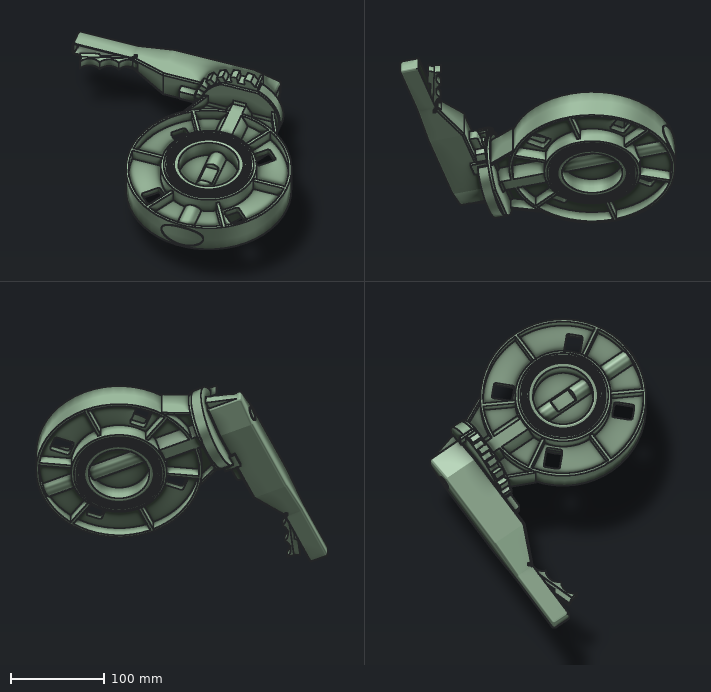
import cadquery as cq

rim_radius = 89.0
rim_wall = 3.0
rim_half_height = 16.45
web_half_thickness = 3.8
rib_thickness = 3.5
rib_angles = (0, 60, 120, 180, 240, 300)
window_angles = (45, 135, 225, 315)
window_radial = 22.0
window_tangential = 17.5
window_center_radius = 65.5
window_corner_radius = 2.5
boss_diameter = 20.0
plug_radius_x = 24.0
plug_radius_z = 13.7
plug_height = 1.0

hub_diameter = 103.0
hub_radius = hub_diameter / 2
seat_face_diameter = 97.0
bore_diameter = 65.0
hub_end = 21.3
seat_end = 23.0
lip_width = 2.0
lip_depth = 0.5
groove_radii = (38.2, 41.7, 45.1)
groove_width = 1.7
groove_depth = 1.0

flange_start = 102.0
flange_end = 105.0
flange_radius = 44.5
flange_half_height = 39.3
wing_base_x = 52.5
wing_base_y = 73.7
wing_top_x = 39.0
neck_top_half_width = 7.3
gusset_size = 2.5
neck_base_half_width = 15.1
plate_end = 116.5
plate_root_radius = 45.0
tooth_end = 116.0
tooth_tip_radius = 52.5
tooth_width = 7.3
tooth_pitch = 18
tooth_count = 5
end_tooth_inner_x = 4.5
end_tooth_outer_x = 11.5
end_tooth_tip_drop = 1.2
end_tooth_foot_x = 20.0
end_tooth_foot_z = 40.5
stop_near_x = 16.5
stop_far_x = 19.5
stop_low_z = 29.7
stop_high_z = 45.7
stop_end = 123.2

disc_half_thickness = 3.2
shaft_diameter = 20.0
pad_width = 15.0
pad_length = 22.7
pad_height = 5.5
pad_taper = 20

handle_bottom = plate_end
handle_top = 156.7
grip_bottom = 135.7
grip_end_x = -202.0
grip_taper_x = -134.5
handle_wide_x = -92.3
handle_nose_x = -2.0
handle_end_x = 28.7
grip_half_height = 8.3
handle_half_height = rim_half_height
nose_half_height = 8.0
handle_edge_radius = 3.2
handle_foot_chamfer = 1.7
cap_diameter = 15.0
cap_height = 1.0
fin_foot_x = 37.3
fin_foot_y = 118.8
fin_top_y = 154.5
fin_half_thickness = 5.2
pawl_start_x = -71.7
pawl_tip_x = -46.5
pawl_neck_x = -54.0
pawl_bottom = 107.5
pawl_half_width = 5.5
pawl_tip_half_width = 2.5
pawl_edge_radius = 3.0
trough_start_x = -200.7
trough_end_x = grip_taper_x
trough_half_height = 7.0
trough_depth = 14.5
trough_taper = 11.5

trigger_half_width = 5.2
trigger_back_half_width = 4.0
pocket_start_x = -157.3
pocket_end_x = -126.7
pocket_top = 144.2
pivot_x = -131.0
pivot_y = 138.4
pivot_diameter = 3.0
pivot_half_length = 10.5
pivot_eye_radius = 3.8


def y_slab(start, end):
    """Workplane whose outlines are drawn in X and Z, with the length to extrude toward +Y."""
    return cq.Workplane("XZ", origin=(0, start, 0)), start - end


def z_prism(sketch_on_xy, half_height):
    """Extrude a closed XY outline equally to both sides of Z = 0."""
    return sketch_on_xy.extrude(half_height, both=True)


def y_cylinder(diameter, start, end):
    plane, length = y_slab(start, end)
    return plane.circle(diameter / 2).extrude(length)


def wheel():
    """Rim, web and radial ribs."""
    inner_radius = rim_radius - rim_wall
    rim = z_prism(cq.Workplane().circle(rim_radius).circle(inner_radius), rim_half_height)
    web = z_prism(cq.Workplane().circle(rim_radius - rim_wall / 2), web_half_thickness)
    body = rim.union(web)
    rib_length = inner_radius - hub_radius + rim_wall
    rib_center = hub_radius + rib_length / 2 - rim_wall / 2
    for angle in rib_angles:
        rib = cq.Workplane().box(rib_length, rib_thickness, 2 * rim_half_height)
        body = body.union(rib.translate((rib_center, 0, 0)).rotate((0, 0, 0), (0, 0, 1), angle))
    return body


def windows():
    """Four rounded bolt windows through the web."""
    window = cq.Workplane().box(window_radial, window_tangential, 2 * rim_half_height)
    window = window.edges("|Z").fillet(window_corner_radius).translate((window_center_radius, 0, 0))
    cutter = cq.Workplane()
    for angle in window_angles:
        cutter = cutter.add(window.rotate((0, 0, 0), (0, 0, 1), angle))
    return cutter


def plug():
    """Oval plug that stands slightly proud of the rim at -Y."""
    plane, length = y_slab(-rim_radius - rim_wall, -rim_radius + 3 * rim_wall)
    oval = plane.ellipse(plug_radius_x, plug_radius_z).extrude(length)
    ring = cq.Workplane().circle(rim_radius + plug_height).circle(rim_radius - rim_wall / 2)
    return oval.intersect(z_prism(ring, rim_half_height))


def bracket():
    """Two slanted wing walls and the web between them."""
    outline = [(-wing_base_x, wing_base_y), (-wing_top_x, flange_start)]
    outline += [(wing_top_x, flange_start), (wing_base_x, wing_base_y)]
    frame = z_prism(cq.Workplane().polyline(outline).close(), rim_half_height)
    inner_base_x = wing_base_x - rim_wall
    inner_top_x = wing_top_x - rim_wall
    opening = [(-inner_base_x, wing_base_y), (-inner_top_x, flange_start)]
    opening += [(inner_top_x, flange_start), (inner_base_x, wing_base_y)]
    frame = frame.cut(z_prism(cq.Workplane().polyline(opening).close(), rim_half_height))
    web = z_prism(cq.Workplane().polyline(outline).close(), web_half_thickness)
    wing_area = frame.union(web)
    return wing_area.cut(z_prism(cq.Workplane().circle(rim_radius - rim_wall / 2), rim_half_height))


def neck():
    """Six-sided stem casing from the hub to the flange."""
    plane, length = y_slab(hub_radius - rim_wall, flange_start)
    right = [(neck_top_half_width, rim_half_height), (neck_base_half_width, web_half_thickness)]
    right += [(x, -z) for x, z in reversed(right)]
    left = [(-x, z) for x, z in reversed(right)]
    return plane.polyline(right + left).close().extrude(length)


def flange_gussets():
    """Sloped corners where the neck and the bracket web meet the flange."""
    gussets = cq.Workplane()
    widths = ((neck_top_half_width, rim_half_height), (wing_top_x - rim_wall / 2, web_half_thickness))
    for half_width, base_z in widths:
        for side in (1, -1):
            profile = [(flange_start, side * (base_z - gusset_size))]
            profile += [(flange_start, side * (base_z + gusset_size))]
            profile += [(flange_start - gusset_size, side * base_z)]
            gusset = cq.Workplane("YZ").polyline(profile).close().extrude(half_width, both=True)
            gussets = gussets.add(gusset)
    return gussets


def hub():
    """Hub with a grooved seat face on both ends."""
    body = z_prism(cq.Workplane().circle(hub_radius), hub_end)
    body = body.union(z_prism(cq.Workplane().circle(seat_face_diameter / 2), seat_end))
    groove_bottom = seat_end - groove_depth
    for side in (1, -1):
        for radius in groove_radii:
            groove = cq.Workplane(origin=(0, 0, side * groove_bottom))
            groove = groove.circle(radius + groove_width / 2).circle(radius - groove_width / 2)
            body = body.cut(groove.extrude(side * groove_depth))
    return body


def bore():
    """Through bore with a shallow flared lip at both ends."""
    radius = bore_diameter / 2
    lip_radius = radius + lip_width
    lip_start = seat_end - lip_depth
    profile = [(0, -seat_end), (lip_radius, -seat_end), (radius, -lip_start)]
    profile += [(radius, lip_start), (lip_radius, seat_end), (0, seat_end)]
    return cq.Workplane("XZ").polyline(profile).close().revolve(360, (0, 0, 0), (0, 1, 0))


def flange():
    """Round flange with its top and bottom cut flat."""
    plane, length = y_slab(flange_start, flange_end)
    disc = plane.circle(flange_radius).extrude(length)
    flats = cq.Workplane().box(4 * flange_radius, 4 * flange_end, 2 * flange_half_height)
    return disc.intersect(flats)


def to_lower_end(points):
    """Mirror X-Z points about the middle of the quarter turn (-X to +Z)."""
    return [(-z, -x) for x, z in points]


def toothed_plate():
    """Index plate with five teeth, a sloped tooth at each end and two stops."""
    plate = y_cylinder(2 * plate_root_radius, flange_end, plate_end)
    plane, length = y_slab(flange_end, tooth_end)
    tooth_length = tooth_tip_radius - plate_root_radius + rim_wall
    tooth = plane.center(0, tooth_tip_radius - tooth_length / 2).rect(tooth_width, tooth_length)
    tooth = tooth.extrude(length)
    for index in range(tooth_count):
        angle = tooth_pitch * (index + 0.5)
        plate = plate.union(tooth.rotate((0, 0, 0), (0, 1, 0), -angle))

    plane, length = y_slab(flange_end, tooth_end)
    foot_z = end_tooth_foot_z - rim_wall
    end_tooth = [(end_tooth_inner_x, foot_z), (end_tooth_inner_x, tooth_tip_radius)]
    end_tooth += [(end_tooth_outer_x, tooth_tip_radius - end_tooth_tip_drop)]
    end_tooth += [(end_tooth_foot_x, end_tooth_foot_z), (end_tooth_foot_x, foot_z)]
    stop = [(stop_near_x, stop_low_z), (stop_near_x, stop_high_z)]
    stop += [(stop_far_x, stop_high_z), (stop_far_x, stop_low_z)]
    stop_plane, stop_length = y_slab(flange_end, stop_end)
    for tooth_outline in (end_tooth, to_lower_end(end_tooth)):
        plate = plate.union(plane.polyline(tooth_outline).close().extrude(length))
    for stop_outline in (stop, to_lower_end(stop)):
        plate = plate.union(stop_plane.polyline(stop_outline).close().extrude(stop_length))
    return plate


def make_housing():
    shaft_boss = y_cylinder(boss_diameter, -rim_radius + rim_wall / 2, -hub_radius + rim_wall)
    body = wheel().cut(windows()).union(bracket()).union(neck()).union(shaft_boss)
    for gusset in flange_gussets().vals():
        body = body.union(cq.Workplane(gusset))
    body = body.union(hub()).union(plug()).cut(bore())
    return body.union(flange()).union(toothed_plate())


def make_disc():
    """Closing disc with its shaft swelling and a sunken flat in the middle."""
    bore_cylinder = z_prism(cq.Workplane().circle(bore_diameter / 2), seat_end)
    plate = z_prism(cq.Workplane().circle(bore_diameter / 2), disc_half_thickness)
    shaft = y_cylinder(shaft_diameter, -bore_diameter / 2, bore_diameter / 2)
    pad = cq.Workplane(origin=(0, 0, pad_height)).rect(pad_width, pad_length)
    pad = pad.extrude(shaft_diameter / 2, taper=-pad_taper)
    return plate.union(shaft.intersect(bore_cylinder)).cut(pad)


def handle_shell():
    """Side outline and plan outline of the handle, crossed with each other."""
    side = [(grip_end_x, handle_top), (handle_end_x, handle_top), (handle_end_x, handle_bottom)]
    side += [(handle_wide_x, handle_bottom), (grip_taper_x, grip_bottom), (grip_end_x, grip_bottom)]
    side_prism = z_prism(cq.Workplane().polyline(side).close(), handle_half_height)
    upper = [(grip_end_x, grip_half_height), (grip_taper_x, grip_half_height)]
    upper += [(handle_wide_x, handle_half_height), (handle_nose_x, handle_half_height)]
    upper += [(handle_end_x, nose_half_height)]
    lower = [(x, -z) for x, z in reversed(upper)]
    plane, length = y_slab(handle_bottom, handle_top)
    shell = side_prism.intersect(plane.polyline(upper + lower).close().extrude(length))
    slope_middle = ((grip_taper_x + handle_wide_x) / 2, (grip_bottom + handle_bottom) / 2, 0)
    foot = shell.faces("<Y").edges("not |Z")
    foot = foot.add(shell.faces(cq.NearestToPointSelector(slope_middle)).edges("not |Z"))
    shell = foot.chamfer(handle_foot_chamfer)
    top_and_ends = shell.faces(">Y").edges().add(shell.faces("<X or >X").edges("|Y"))
    return top_and_ends.fillet(handle_edge_radius)


def trough():
    """Tapered trough along the underside of the grip."""
    plane, length = y_slab(grip_bottom, grip_bottom + trough_depth)
    middle = (trough_start_x + trough_end_x) / 2
    opening = plane.center(middle, 0).rect(trough_end_x - trough_start_x, 2 * trough_half_height)
    return opening.extrude(length, taper=trough_taper)


def pawl():
    """Fixed locking nose that sits between two teeth of the plate."""
    outline = [(pawl_start_x, pawl_half_width), (pawl_neck_x, pawl_half_width)]
    outline += [(pawl_neck_x, pawl_tip_half_width), (pawl_tip_x, pawl_tip_half_width)]
    outline += [(x, -z) for x, z in reversed(outline)]
    plane, length = y_slab(pawl_bottom, handle_bottom + handle_foot_chamfer)
    nose = plane.polyline(outline).close().extrude(length)
    return nose.edges("<X and <Y").fillet(pawl_edge_radius)


def make_handle():
    cap = y_cylinder(cap_diameter, handle_top - handle_edge_radius, handle_top + cap_height)
    fin_root_x = handle_end_x - handle_edge_radius
    fin = [(fin_root_x, fin_foot_y), (fin_root_x, fin_top_y - handle_edge_radius)]
    fin += [(handle_end_x, fin_top_y - handle_edge_radius), (fin_foot_x, fin_foot_y)]
    fin = z_prism(cq.Workplane().polyline(fin).close(), fin_half_thickness)
    pocket = cq.Workplane().moveTo(pocket_start_x, handle_bottom).lineTo(pocket_start_x, pocket_top)
    pocket = pocket.lineTo(pocket_end_x, pocket_top).lineTo(pocket_end_x, handle_bottom).close()
    body = handle_shell().union(cap).union(fin).union(pawl())
    return body.cut(trough()).cut(z_prism(pocket, trigger_half_width)).cut(pivot_pin())


def pivot_pin():
    return z_prism(cq.Workplane().center(pivot_x, pivot_y).circle(pivot_diameter / 2), pivot_half_length)


def make_trigger():
    """Finger trigger: scalloped front, narrower back rail and the pivot pin."""
    front = cq.Workplane().moveTo(-187.5, 122.0).lineTo(-186.5, 114.5)
    front = front.threePointArc((-177.0, 123.0), (-166.0, 121.0))
    front = front.threePointArc((-155.5, 129.0), (-146.2, 127.0))
    front = front.threePointArc((-141.0, 133.5), (-133.0, 135.1)).lineTo(-131.0, 139.8).close()
    front = z_prism(front, trigger_half_width)
    back = [(-187.5, 122.0), (-190.8, 128.0), (-171.5, 134.0), (-168.4, 131.5), (-135.5, 143.3), (-131.0, 139.8)]
    back = z_prism(cq.Workplane().polyline(back).close(), trigger_back_half_width)
    eye = z_prism(cq.Workplane().center(pivot_x, pivot_y).circle(pivot_eye_radius), trigger_half_width)
    return front.union(back).union(eye).union(pivot_pin())


housing = make_housing()
disc = make_disc()
handle = make_handle()
trigger = make_trigger()
result = cq.Compound.makeCompound([housing.val(), disc.val(), handle.val(), trigger.val()])